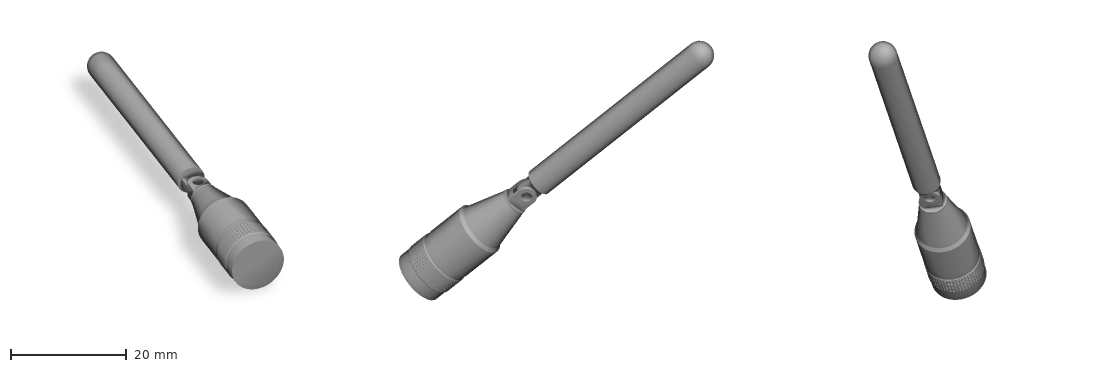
import cadquery as cq
import math


total_length = 71.5
axis_origin = (0, 0, 0)
axis_direction = (1, 0, 0)

rod_radius = 2.5
rod_end = 42.05

hinge_x = 45.05
hinge_radius = 1.8
hinge_hole_diameter = 2.0
clevis_thickness = 2.85
tongue_thickness = 1.5
slot_radius = 2.35

handle_start = 47.85
neck_end = 48.2
cone_end = 55.9
cone_radius = 4.4
shoulder_end = 56.6
barrel_end = 64.1
barrel_radius = 4.9
sleeve_radius = 4.85

collar_start = 65.2
collar_end = 69.1
collar_radius = 5.0
collar_chamfer_length = 0.15
pocket_columns = 8
pockets_around = 56
half_step = 0.5
pocket_depth = 0.2
rim_width = 0.15
rib_share = 0.55
knurl_start = collar_start + collar_chamfer_length + rim_width
knurl_length = collar_end - collar_chamfer_length - rim_width - knurl_start
column_pitch = knurl_length / (pocket_columns - rib_share)
pocket_length = column_pitch * (1 - rib_share)
pocket_width = 2 * math.pi * collar_radius / pockets_around * (1 - rib_share)


def hinge_plate(x_start, x_end, thickness):
    """Flat plate, as wide as the hinge knuckle, centred on the axis."""
    return (
        cq.Workplane("XY")
        .box(x_end - x_start, 2 * hinge_radius, thickness)
        .translate(((x_start + x_end) / 2, 0, 0))
    )


def hinge_disc(radius, thickness):
    """Round disc centred on the hinge hole."""
    return cq.Workplane("XY").center(hinge_x, 0).circle(radius).extrude(thickness / 2, both=True)


def make_rod():
    nose_middle = rod_radius * (1 - math.sqrt(0.5))
    shaft = (
        cq.Workplane("XZ")
        .moveTo(0, 0)
        .threePointArc((nose_middle, rod_radius * math.sqrt(0.5)), (rod_radius, rod_radius))
        .lineTo(rod_end, rod_radius)
        .lineTo(rod_end, 0)
        .close()
        .revolve(360, axis_origin, axis_direction)
    )
    tongue = hinge_plate(rod_end, hinge_x, tongue_thickness).union(hinge_disc(hinge_radius, tongue_thickness))
    hole = hinge_disc(hinge_hole_diameter / 2, tongue_thickness)
    return shaft.union(tongue).cut(hole)


def make_clevis():
    lugs = hinge_plate(hinge_x, handle_start, clevis_thickness).union(hinge_disc(hinge_radius, clevis_thickness))
    slot = hinge_disc(slot_radius, tongue_thickness)
    hole = hinge_disc(hinge_hole_diameter / 2, clevis_thickness)
    return lugs.cut(slot).cut(hole)


def make_handle_body():
    return (
        cq.Workplane("XZ")
        .polyline([
            (handle_start, 0),
            (handle_start, rod_radius),
            (neck_end, rod_radius),
            (cone_end, cone_radius),
            (shoulder_end, barrel_radius),
            (barrel_end, barrel_radius),
            (barrel_end, sleeve_radius),
            (collar_start, sleeve_radius),
            (collar_start + collar_chamfer_length, collar_radius),
            (collar_end - collar_chamfer_length, collar_radius),
            (collar_end, sleeve_radius),
            (total_length, sleeve_radius),
            (total_length, 0),
        ])
        .close()
        .revolve(360, axis_origin, axis_direction)
    )


def make_knurl_pockets():
    """Cutting blocks for all the pockets, in evenly spaced columns round the collar."""
    pocket = (
        cq.Workplane("XY", origin=(knurl_start + pocket_length / 2, 0, collar_radius - pocket_depth))
        .rect(pocket_length, pocket_width)
        .extrude(2 * pocket_depth)
        .val()
    )
    pockets = []
    for column in range(pocket_columns):
        column_pocket = pocket.translate(cq.Vector(column * column_pitch, 0, 0))
        for place in range(pockets_around):
            angle = (place + half_step) * 360 / pockets_around
            pockets.append(column_pocket.rotate(axis_origin, axis_direction, angle))
    return pockets


def make_handle():
    blank = make_handle_body().union(make_clevis()).val()
    return blank.cut(*make_knurl_pockets())


rod = make_rod()
handle = make_handle()
result = cq.Compound.makeCompound([rod.val(), *handle.Solids()])